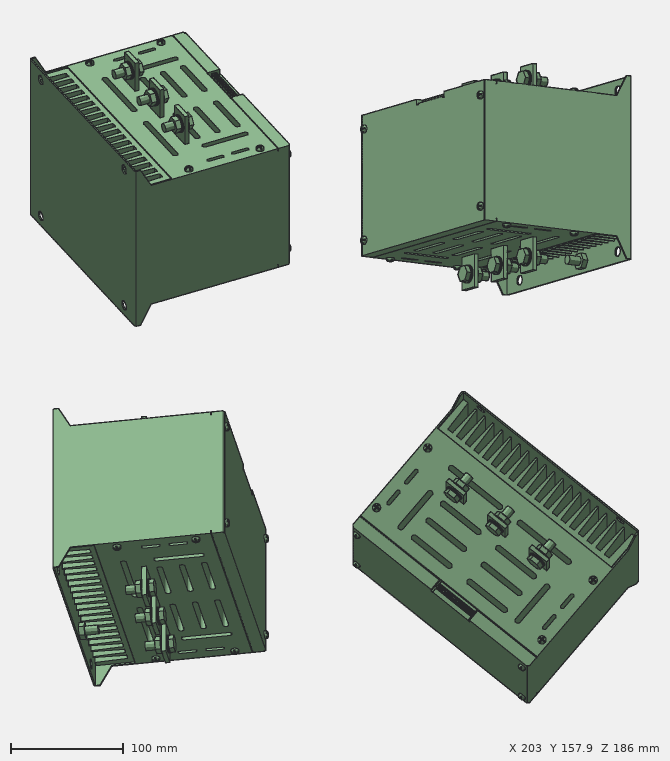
import cadquery as cq
import math

WIDTH = 203.0
HOUSING_DEPTH = 154.9
HOUSING_HEIGHT = 126.7
PLATE_HEIGHT = 165.0
SHEET = 1.5
BEND_RADIUS = 2.5
BACK_ROUNDING = 1.6
LID_THICKNESS = 0.8
LID_INSET = 1.6
FLARE_START_Y = 16.0
FLARE_END_Y = 5.5
HOUSING_TOP = HOUSING_HEIGHT / 2
PLATE_TOP = PLATE_HEIGHT / 2
CUT_MARGIN = 2.0

MOUNT_HOLE_DIA = 8.5
MOUNT_HOLE_X = 80.0
MOUNT_HOLE_Z = 72.5

SINK_CLEARANCE = 0.6
SINK_FRONT_Y = SHEET + SINK_CLEARANCE
SINK_STEP_Y = 37.1
SINK_STEP_DEPTH = 1.0
GAP_COUNT = 19
GAP_SPAN = 179.9
GAP_PITCH = GAP_SPAN / (GAP_COUNT - 1)
GAP_ROOT_Y = 31.9
GAP_ROOT_WIDTH = 5.3
GAP_TIP_WIDTH = 8.3

SEAM_Y = 142.7
SEAM_WIDTH = 0.6
SEAM_DEPTH = 2.6

VENT_WIDTH = 5.0
VENT_LENGTH = 45.3
VENT_INNER_X = 9.1
VENT_ROWS_Y = (87.5, 107.5, 127.7)
FRONT_VENT_Y = 57.7
UPRIGHT_VENT_X = 67.2
SMALL_VENT_WIDTH = 3.5
SMALL_VENT_LENGTH = 16.6
SMALL_VENT_X = 89.5
SMALL_VENTS_Y = (86.3, 111.0)

SCREW_DIA = 7.3
SCREW_HEIGHT = 3.0
SCREW_ROUNDING = 2.2
SCREW_X = 95.0
SIDE_SCREWS_Y = (56.8, 127.9)
BACK_SCREW_Z = 50.1
CROSS_LENGTH = 6.5
CROSS_WIDTH = 1.0
CROSS_DEPTH = 1.6

BAR_PITCH = 47.7
BAR_WIDTH = 20.0
BAR_THICKNESS = 4.0
BAR_Y = 74.3
BAR_TOP = 93.0
BOLT_Z = 80.0
BOLT_DIA = 8.1
BOLT_TIP_Y = 56.5
HEX_FLATS = 13.2
NUT_THICKNESS = 5.0
BOLT_HEAD_THICKNESS = 4.5
WASHER_DIA = 16.2
WASHER_THICKNESS = 0.6
WASHER_GAP = 0.5
WASHER_NECK_DIA = 10.2

STUD_X = -24.2
STUD_Z = -72.5
STUD_TIP_Y = 18.3

CONNECTOR_X = -12.0
CONNECTOR_WIDTH = 40.5
CONNECTOR_GAP = 1.8
RECESS_FRONT_Y = 142.3
RECESS_DEPTH = 4.0
SIDE_GAP_DEPTH = 5.0
SOCKET_BLOCK_DEPTH = 0.8
SOCKET_BLOCK_LENGTH = 5.0
SOCKET_COUNT = 8
SOCKET_PITCH = 4.9
SOCKET_Y = 148.0
SOCKET_WIDTH = 4.0
SOCKET_LENGTH = 3.9
SOCKET_DEPTH = 4.0
PIN_DIA = 1.6


def box(x_range, y_range, z_range):
    """Box spanning the given (low, high) ranges."""
    size = [high - low for low, high in (x_range, y_range, z_range)]
    return cq.Workplane("XY").box(*size, centered=False).translate((x_range[0], y_range[0], z_range[0]))


def along_y(x, y_start, z):
    """Workplane at a point, facing +Y."""
    return cq.Workplane(cq.Plane(origin=(x, y_start, z), xDir=(1, 0, 0), normal=(0, 1, 0)))


def make_housing():
    """Solid housing whose ends flare out to the taller front plate."""
    body_back = HOUSING_DEPTH - LID_THICKNESS
    upper_edge = [
        (0, PLATE_TOP),
        (FLARE_END_Y, PLATE_TOP),
        (FLARE_START_Y, HOUSING_TOP),
        (body_back, HOUSING_TOP),
    ]
    lower_edge = [(y, -z) for y, z in reversed(upper_edge)]
    housing = cq.Workplane("YZ").polyline(upper_edge + lower_edge).close().extrude(WIDTH / 2, both=True)
    housing = housing.edges("|Z and <Y").fillet(BEND_RADIUS)
    housing = housing.edges("|Z and >Y").fillet(BACK_ROUNDING)
    lid_x = WIDTH / 2 - LID_INSET
    lid = box((-lid_x, lid_x), (body_back, HOUSING_DEPTH), (-HOUSING_TOP, HOUSING_TOP))
    return housing.union(lid)


def sink_clearance():
    """Space around the heat sink, leaving the side walls and the front plate free of it."""
    wall_x = WIDTH / 2 - SHEET
    sink_x = wall_x - SINK_CLEARANCE
    sink_top = HOUSING_TOP - SINK_STEP_DEPTH
    around = box((-wall_x, wall_x), (SHEET, SINK_STEP_Y), (-PLATE_TOP, PLATE_TOP))
    sink = box((-sink_x, sink_x), (SINK_FRONT_Y, SINK_STEP_Y), (-sink_top, sink_top))
    return around.cut(sink)


def fin_gaps():
    """Tapered gaps that leave the heat sink fins standing."""
    outline = [
        (-GAP_TIP_WIDTH / 2, SINK_FRONT_Y),
        (GAP_TIP_WIDTH / 2, SINK_FRONT_Y),
        (GAP_ROOT_WIDTH / 2, GAP_ROOT_Y),
        (-GAP_ROOT_WIDTH / 2, GAP_ROOT_Y),
    ]
    gap = cq.Workplane("XY").polyline(outline).close().extrude(HOUSING_TOP, both=True)
    first_x = -GAP_SPAN / 2
    gaps = cq.Workplane("XY")
    for index in range(GAP_COUNT):
        gaps = gaps.add(gap.translate((first_x + index * GAP_PITCH, 0, 0)))
    return gaps.combine()


def vent(x, y, length, width, angle=0):
    """One round-ended slot through the full height of the housing."""
    return (
        cq.Workplane("XY")
        .center(x, y)
        .slot2D(length, width, angle)
        .extrude(HOUSING_TOP + CUT_MARGIN, both=True)
    )


def vents():
    """All ventilation slots on both sides of the centre plane."""
    row_x = VENT_INNER_X + VENT_LENGTH / 2
    front_length = UPRIGHT_VENT_X + VENT_WIDTH / 2 - VENT_INNER_X
    front_x = VENT_INNER_X + front_length / 2
    middle_row_y = VENT_ROWS_Y[1]
    slots = cq.Workplane("XY")
    for side in (-1, 1):
        for y in VENT_ROWS_Y:
            slots = slots.add(vent(side * row_x, y, VENT_LENGTH, VENT_WIDTH))
        slots = slots.add(vent(side * front_x, FRONT_VENT_Y, front_length, VENT_WIDTH))
        slots = slots.add(vent(side * UPRIGHT_VENT_X, middle_row_y, VENT_LENGTH, VENT_WIDTH, 90))
        for y in SMALL_VENTS_Y:
            slots = slots.add(vent(side * SMALL_VENT_X, y, SMALL_VENT_LENGTH, SMALL_VENT_WIDTH, 90))
    return slots.combine()


def mount_holes():
    """Four mounting holes through the front plate."""
    spacing = (2 * MOUNT_HOLE_X, 2 * MOUNT_HOLE_Z)
    return along_y(0, 0, 0).rarray(*spacing, 2, 2).circle(MOUNT_HOLE_DIA / 2).extrude(FLARE_START_Y)


def seams():
    """Narrow grooves across the top and bottom faces."""
    seam = box(
        (-WIDTH / 2, WIDTH / 2),
        (SEAM_Y - SEAM_WIDTH / 2, SEAM_Y + SEAM_WIDTH / 2),
        (HOUSING_TOP - SEAM_DEPTH, HOUSING_TOP),
    )
    return seam.add(seam.mirror("XY")).combine()


def screw_head():
    """Rounded screw head with a cross recess, standing on the XY plane."""
    head = cq.Workplane("XY").circle(SCREW_DIA / 2).extrude(SCREW_HEIGHT)
    head = head.faces(">Z").edges().fillet(SCREW_ROUNDING)
    recess_plane = cq.Workplane("XY").workplane(offset=SCREW_HEIGHT - CROSS_DEPTH)
    for size in ((CROSS_LENGTH, CROSS_WIDTH), (CROSS_WIDTH, CROSS_LENGTH)):
        head = head.cut(recess_plane.rect(*size).extrude(CROSS_DEPTH))
    return head


def screws():
    """Screw heads on the top, bottom and back faces."""
    head = screw_head()
    back_head = head.rotate((0, 0, 0), (1, 0, 0), -90)
    heads = cq.Workplane("XY")
    for x in (-SCREW_X, SCREW_X):
        for y in SIDE_SCREWS_Y:
            top_head = head.translate((x, y, HOUSING_TOP))
            heads = heads.add(top_head).add(top_head.mirror("XY"))
        for z in (-BACK_SCREW_Z, BACK_SCREW_Z):
            heads = heads.add(back_head.translate((x, HOUSING_DEPTH, z)))
    return heads.combine()


def rod(x, y_range, z, diameter):
    """Cylinder along Y spanning the given (low, high) range."""
    return along_y(x, y_range[0], z).circle(diameter / 2).extrude(y_range[1] - y_range[0])


def hexagon(x, y_start, z, thickness):
    """Hexagonal nut or bolt head with corners pointing along X."""
    corner_dia = HEX_FLATS / math.cos(math.pi / 6)
    return along_y(x, y_start, z).polygon(6, corner_dia).extrude(thickness)


def terminal(x):
    """Upper terminal bar with bolt, nut and a pair of washers on each side."""
    bar_front = BAR_Y - BAR_THICKNESS / 2
    bar_back = BAR_Y + BAR_THICKNESS / 2
    outer_offset = WASHER_THICKNESS + WASHER_GAP
    stack_height = outer_offset + WASHER_THICKNESS
    stack_front = bar_front - stack_height
    stack_back = bar_back + stack_height
    parts = box(
        (x - BAR_WIDTH / 2, x + BAR_WIDTH / 2),
        (bar_front, bar_back),
        (HOUSING_TOP - CUT_MARGIN, BAR_TOP),
    )
    for washer_y in (stack_front, stack_front + outer_offset, bar_back, bar_back + outer_offset):
        washer = rod(x, (washer_y, washer_y + WASHER_THICKNESS), BOLT_Z, WASHER_DIA)
        parts = parts.union(washer)
    parts = parts.union(rod(x, (stack_front, stack_back), BOLT_Z, WASHER_NECK_DIA))
    parts = parts.union(rod(x, (BOLT_TIP_Y, BAR_Y), BOLT_Z, BOLT_DIA))
    parts = parts.union(hexagon(x, stack_front - NUT_THICKNESS, BOLT_Z, NUT_THICKNESS))
    return parts.union(hexagon(x, stack_back, BOLT_Z, BOLT_HEAD_THICKNESS))


def earth_stud():
    """Stud and nut on the inner face of the front plate."""
    nut = hexagon(STUD_X, SHEET, STUD_Z, NUT_THICKNESS)
    return nut.union(rod(STUD_X, (SHEET, STUD_TIP_Y), STUD_Z, BOLT_DIA))


def connector_recess():
    """Recess around the control connector, whose socket block stands up from the floor."""
    floor_z = HOUSING_TOP - RECESS_DEPTH
    block_z = HOUSING_TOP - SOCKET_BLOCK_DEPTH
    recess_y = (RECESS_FRONT_Y, HOUSING_DEPTH)
    connector_x = (CONNECTOR_X - CONNECTOR_WIDTH / 2, CONNECTOR_X + CONNECTOR_WIDTH / 2)
    recess_x = (connector_x[0] - CONNECTOR_GAP, connector_x[1] + CONNECTOR_GAP)
    block_y = (SOCKET_Y - SOCKET_BLOCK_LENGTH / 2, SOCKET_Y + SOCKET_BLOCK_LENGTH / 2)

    recess = box(recess_x, recess_y, (HOUSING_TOP - SIDE_GAP_DEPTH, HOUSING_TOP))
    recess = recess.cut(box(connector_x, recess_y, (HOUSING_TOP - SIDE_GAP_DEPTH, floor_z)))
    recess = recess.cut(box(connector_x, block_y, (floor_z, block_z)))

    sockets = (
        cq.Workplane("XY", origin=(CONNECTOR_X, SOCKET_Y, block_z - SOCKET_DEPTH))
        .rarray(SOCKET_PITCH, 2, SOCKET_COUNT, 1)
    )
    holes = sockets.rect(SOCKET_WIDTH, SOCKET_LENGTH).extrude(SOCKET_DEPTH)
    pins = sockets.circle(PIN_DIA / 2).extrude(SOCKET_DEPTH)
    return recess.union(holes.cut(pins))


result = make_housing()
for removed in (sink_clearance(), fin_gaps(), vents(), mount_holes(), seams(), connector_recess()):
    result = result.cut(removed)

result = result.union(screws()).union(earth_stud())
for bar_x in (-BAR_PITCH, 0, BAR_PITCH):
    upper_terminal = terminal(bar_x)
    lower_terminal = upper_terminal.mirror("XY")
    result = result.union(upper_terminal).union(lower_terminal)